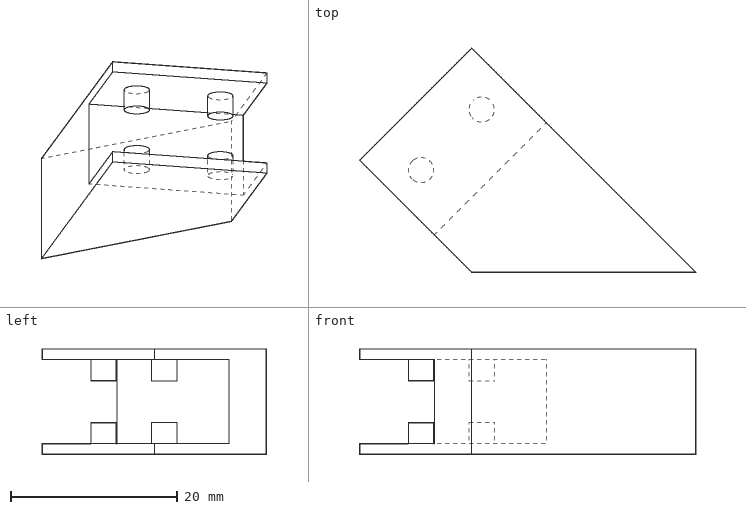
import cadquery as cq
import math

length = 40.4
height = 12.7
plate_thickness = 1.3
slot_depth = 12.7
post_diameter = 3.05
post_height = 2.55
post_spacing = 10.3
post_setback = 6.05

third = length / 3
bar_width = third * math.sqrt(2)
bar_angle = -45
slot_height = height - 2 * plate_thickness

bar_direction = (math.cos(math.radians(bar_angle)), math.sin(math.radians(bar_angle)), 0)
bar_plane = cq.Plane(origin=(third / 2, 1.5 * third, 0), xDir=bar_direction, normal=(0, 0, 1))


def make_body():
    """Solid bar with a square end and a mitred end."""
    outline = [(0, third), (third, 2 * third), (length, 0), (third, 0)]
    return cq.Workplane("XY").polyline(outline).close().extrude(height)


def make_slot():
    """Slot open at the square end and through both sides, leaving two plates."""
    return (
        cq.Workplane(bar_plane)
        .workplane(offset=plate_thickness)
        .center(slot_depth / 2, 0)
        .rect(slot_depth, bar_width)
        .extrude(slot_height)
    )


def make_posts(base_height):
    """Pair of round posts standing side by side across the slot."""
    centres = [(post_setback, side * post_spacing / 2) for side in (-1, 1)]
    return (
        cq.Workplane(bar_plane)
        .workplane(offset=base_height)
        .pushPoints(centres)
        .circle(post_diameter / 2)
        .extrude(post_height)
    )


result = make_body().cut(make_slot())

for base_height in (plate_thickness, height - plate_thickness - post_height):
    result = result.union(make_posts(base_height))